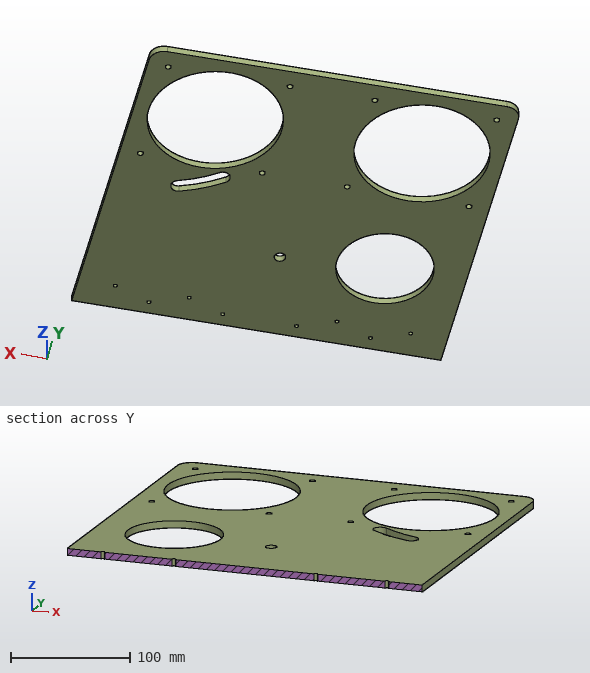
import cadquery as cq
import math

plate_width = 317.5
plate_depth = 304.8
plate_thickness = 6.5
corner_radius = 12.7

large_diameter = 114.3
large_offset_x = 89.0
large_y = plate_depth - 70.0
mount_pitch = 104.8
mount_diameter = 4.8

medium_diameter = 82.5
medium_y = 95.2
centre_hole_diameter = 9.5
centre_hole_y = 89.0

inner_row_y = 25.5
inner_row_offsets = (63.5, 127.0)
outer_row_y = 12.7
outer_row_offsets = (31.8, 95.2)
row_hole_diameter = 3.2

slot_start = (67.5, 170.2)
slot_end = (102.0, 152.0)
slot_width = 12.5
slot_bow = 1.5


def cut_holes(body, points, diameter):
    """Drill through holes at the given XY points."""
    drills = cq.Workplane("XY").pushPoints(points).circle(diameter / 2).extrude(plate_thickness)
    return body.cut(drills)


def mirrored_row(offsets, y):
    """Points on both sides of the centreline at one Y."""
    return [(side * offset, y) for offset in offsets for side in (-1, 1)]


def curved_slot():
    """Slot of constant width along an arc that bows toward the front edge."""
    chord_x = slot_end[0] - slot_start[0]
    chord_y = slot_end[1] - slot_start[1]
    chord = math.hypot(chord_x, chord_y)
    arc_radius = chord**2 / (8 * slot_bow) + slot_bow / 2
    center_distance = arc_radius - slot_bow
    center_x = (slot_start[0] + slot_end[0]) / 2 - chord_y / chord * center_distance
    center_y = (slot_start[1] + slot_end[1]) / 2 + chord_x / chord * center_distance
    start_angle = math.atan2(slot_start[1] - center_y, slot_start[0] - center_x)
    end_angle = math.atan2(slot_end[1] - center_y, slot_end[0] - center_x)
    middle_angle = (start_angle + end_angle) / 2
    inner_radius = arc_radius - slot_width / 2
    outer_radius = arc_radius + slot_width / 2

    def polar(radius, angle):
        return (center_x + radius * math.cos(angle), center_y + radius * math.sin(angle))

    def cap_tip(end, angle, direction):
        return (
            end[0] - direction * slot_width / 2 * math.sin(angle),
            end[1] + direction * slot_width / 2 * math.cos(angle),
        )

    return (
        cq.Workplane("XY")
        .moveTo(*polar(outer_radius, start_angle))
        .threePointArc(polar(outer_radius, middle_angle), polar(outer_radius, end_angle))
        .threePointArc(cap_tip(slot_end, end_angle, 1), polar(inner_radius, end_angle))
        .threePointArc(polar(inner_radius, middle_angle), polar(inner_radius, start_angle))
        .threePointArc(cap_tip(slot_start, start_angle, -1), polar(outer_radius, start_angle))
        .close()
        .extrude(plate_thickness)
    )


plate = cq.Workplane("XY").box(plate_width, plate_depth, plate_thickness, centered=(True, False, False))
plate = plate.edges("|Z and >Y").fillet(corner_radius)

large_centers = mirrored_row((large_offset_x,), large_y)
mount_points = [
    (x + side_x * mount_pitch / 2, y + side_y * mount_pitch / 2)
    for x, y in large_centers
    for side_x in (-1, 1)
    for side_y in (-1, 1)
]
plate = cut_holes(plate, large_centers, large_diameter)
plate = cut_holes(plate, mount_points, mount_diameter)

plate = cut_holes(plate, [(-large_offset_x, medium_y)], medium_diameter)
plate = cut_holes(plate, [(0, centre_hole_y)], centre_hole_diameter)

plate = cut_holes(plate, mirrored_row(inner_row_offsets, inner_row_y), row_hole_diameter)
plate = cut_holes(plate, mirrored_row(outer_row_offsets, outer_row_y), row_hole_diameter)

result = plate.cut(curved_slot())